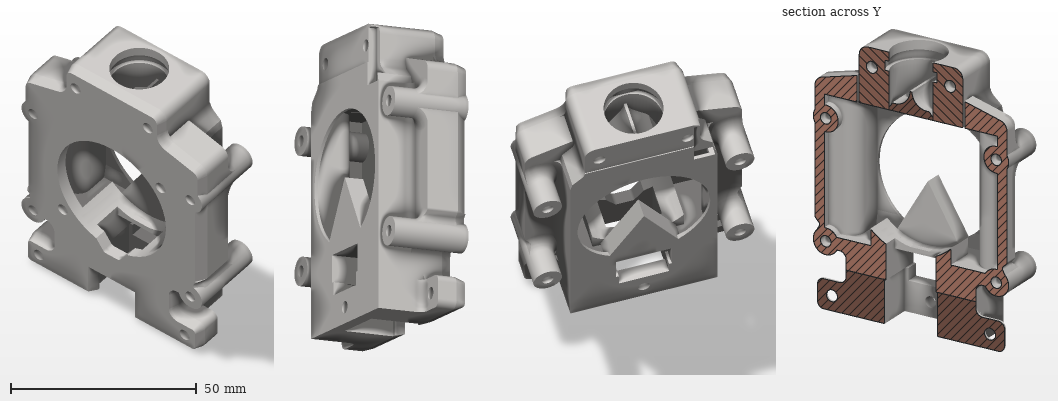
import cadquery as cq
import math

TOP_Z = 40.0
BOTTOM_Z = -40.0
BACK_Y = 22.0
PLATE_BACK_Y = 3.5
BEVEL_DEPTH = 3.0
BEVEL_INSET = 1.0
SPLIT_Y = 12.0
WALL = 2.0
FLANGE_WALL = 3.2
BACK_WALL = 1.0
COVER_BACK_Y = 14.2

NECK_HALF = 16.5
NECK_RADIUS = 2.9
SHOULDER_Z = 31.0
SHOULDER_SLOPE = 15.0
SHOULDER_RADIUS = 3.0
FLANGE_HALF = 30.5
FLANGE_BOTTOM_Z = -13.6
FLANGE_RADIUS = 0.8
NOTCH_INNER = (28.8, -15.4)
NOTCH_END = (29.9, -17.3)
POST_INSET = (28.4, -18.4)
BODY_HALF = 20.6
WAIST_TOP_Z = -21.8
WAIST_RADIUS = 2.0
FOOT_HALF = 29.7
FOOT_TOP_Z = -31.0
FOOT_INNER_RADIUS = 2.0
FOOT_RADIUS = 2.0
FOOT_BACK_Y = 8.5

EYE_Z = 0.4
EYE_RADIUS = 18.6
EYE_NOTCH_TOP = (5.4, -17.3)
EYE_NOTCH_BOTTOM = (2.6, -21.1)
EYE_NOTCH_RADIUS = 1.2
CAVITY_TOP_Z = 23.0
CAVITY_FLOOR_Z = -18.0
PIT_HALF = 7.8
PIT_BACK_Y = 12.4
PIT_TOP_Z = -19.5
SADDLE_HALF = 12.8
COVER_BOTTOM_Z = -27.1
CAP_GAP = 0.6
FLARE_RADIUS = COVER_BACK_Y - SPLIT_Y
POST_FLARE_RADIUS = 3.0

POST_RADIUS = 4.0
POST_X = 27.0
POST_ZS = (16.0, -20.0)
SCREW_DIAMETER = 3.4
POST_HOLE_DIAMETER = 3.2
NECK_HOLE = (12.4, 34.2)
FOOT_HOLE = (25.0, -35.5)
DOWEL = (16.8, 14.1)
BORE_RADIUS = 8.1
GROOVE_RADIUS = 9.2
GROOVE_TOP_Z = 37.2
GROOVE_BOTTOM_Z = 34.4
DEFLECTOR_HALF = 7.7
DEFLECTOR_LEDGE_OUTER = 5.8
DEFLECTOR_LEDGE_INNER = 5.0
DEFLECTOR_LEDGE_HEIGHT = 2.4
DEFLECTOR_RIDGE_HALF = 0.4

SLOT_HALF = 7.0
SLOT_BEVEL = 1.0
SLOT_TOP_Z = -29.8
BASE_SLOT_HALF = 8.2
TAB_TOP_Z = -30.8
TAB_FRONT_Y = 18.0
WEB_FRONT_Y = 16.5
WEB_SLOPE = 0.6
RAMP_HEIGHT = 4.2
RAMP_DEPTH = 0.8
REAR_SHOULDER_Z = 28.5
REAR_SHOULDER_RADIUS = 3.2
REAR_SHOULDER_END = (20.1, 25.2)
NECK_BACK_Y = 21.8
NECK_STEP_Z = 29.4
LATCH_INNER_X = -14.1
LATCH_OUTER_X = -20.0
LATCH_FRONT_Y = 19.5
LATCH_TOP_Z = 38.9
SIDE_BEVEL_INSET = 1.9

SLOPE_TAN = math.tan(math.radians(SHOULDER_SLOPE))


def shoulder_z(x):
    """Height of the front shoulder's sloped line at distance x from the centre."""
    return SHOULDER_Z - (x - NECK_HALF) * SLOPE_TAN


def arc_bulge(radius):
    """Offset of a concave quarter arc's midpoint from each of the two faces it joins."""
    return radius * (1 - math.sqrt(0.5))


def corner_arc(before, corner, after):
    """Start, middle and end of the arc that rounds a corner (x, z, radius)."""
    x, z, radius = corner
    start_dir = cq.Vector(before[0] - x, before[1] - z).normalized()
    end_dir = cq.Vector(after[0] - x, after[1] - z).normalized()
    half_angle = start_dir.getAngle(end_dir) / 2
    tangent = radius / math.tan(half_angle)
    bisector = (start_dir + end_dir).normalized()
    apex = cq.Vector(x, z)
    return (
        apex + start_dir * tangent,
        apex + bisector * (radius / math.sin(half_angle) - radius),
        apex + end_dir * tangent,
    )


def mirrored_prism(half_outline, y_front, y_back, taper=None):
    """Prism along Y from the right half of a symmetric outline of (x, z, radius) corners.

    A tapered prism has its full outline at the back and shrinks towards the front.
    """
    corners = half_outline + [(-x, z, r) for x, z, r in reversed(half_outline)]
    plane_y = y_front if taper is None else y_back
    outline = cq.Workplane("XZ", origin=(0, plane_y, 0))
    started = False
    for i, corner in enumerate(corners):
        before = corners[i - 1]
        after = corners[(i + 1) % len(corners)]
        if corner[2] > 0:
            start, middle, end = corner_arc(before, corner, after)
        else:
            start = cq.Vector(corner[0], corner[1])
        outline = outline.lineTo(start.x, start.y) if started else outline.moveTo(start.x, start.y)
        started = True
        if corner[2] > 0:
            outline = outline.threePointArc((middle.x, middle.y), (end.x, end.y))
    outline = outline.close()
    if taper is None:
        return outline.extrude(y_front - y_back)
    return outline.extrude(y_back - y_front, taper=taper)


def block(half_width, y_front, y_back, z_low, z_high):
    """Box centred on X = 0."""
    size = (2 * half_width, y_back - y_front, z_high - z_low)
    return cq.Workplane("XY").box(*size, centered=(True, False, False)).translate((0, y_front, z_low))


def y_cylinder(x, z, radius, y_front=0.0, y_back=BACK_Y):
    return cq.Workplane("XZ", origin=(0, y_front, 0)).center(x, z).circle(radius).extrude(y_front - y_back)


def both_sides(shape):
    return shape.union(shape.mirror("YZ"))


def wall_flare(y_face, radius, z_low, z_high):
    """Concave fillet between the outer side walls and a ledge that faces +Y."""
    bulge = arc_bulge(radius)
    section = (
        cq.Workplane("XY", origin=(0, 0, z_low))
        .moveTo(BODY_HALF - WALL, y_face)
        .lineTo(BODY_HALF + radius, y_face)
        .threePointArc((BODY_HALF + bulge, y_face + bulge), (BODY_HALF, y_face + radius))
        .lineTo(BODY_HALF - WALL, y_face + radius)
        .close()
    )
    return both_sides(section.extrude(z_high - z_low))


def screw_holes(points, diameter):
    holes = cq.Workplane("XZ").pushPoints(points).circle(diameter / 2)
    return holes.extrude(-BACK_Y)


def side_pair(point):
    x, z = point
    return [(x, z), (-x, z)]


def shaft_bore():
    """Vertical bore with a retaining groove, centred on the split plane."""
    bore = (
        cq.Workplane("XY", origin=(0, SPLIT_Y, CAVITY_TOP_Z))
        .circle(BORE_RADIUS)
        .extrude(TOP_Z - CAVITY_TOP_Z)
    )
    groove = (
        cq.Workplane("XY", origin=(0, SPLIT_Y, GROOVE_BOTTOM_Z))
        .circle(GROOVE_RADIUS)
        .extrude(GROOVE_TOP_Z - GROOVE_BOTTOM_Z)
    )
    return bore.union(groove)


FLANGE_EDGE = [
    (FLANGE_HALF, shoulder_z(FLANGE_HALF), SHOULDER_RADIUS),
    (FLANGE_HALF, FLANGE_BOTTOM_Z, FLANGE_RADIUS),
    NOTCH_INNER + (FLANGE_RADIUS,),
    NOTCH_END + (0,),
    POST_INSET + (0,),
    (POST_INSET[0], WAIST_TOP_Z, 0),
]
FOOT_EDGE = [
    (BODY_HALF, FOOT_TOP_Z, FOOT_INNER_RADIUS),
    (FOOT_HALF, FOOT_TOP_Z, FOOT_RADIUS),
    (FOOT_HALF, BOTTOM_Z, FOOT_RADIUS),
]
PLATE_EDGE = (
    [(NECK_HALF, TOP_Z, NECK_RADIUS), (NECK_HALF, SHOULDER_Z, SHOULDER_RADIUS)]
    + FLANGE_EDGE
    + [(BODY_HALF, WAIST_TOP_Z, WAIST_RADIUS)]
    + FOOT_EDGE
)


def cover_plate():
    lean = math.degrees(math.atan(BEVEL_INSET / BEVEL_DEPTH))
    rim = mirrored_prism(PLATE_EDGE, 0, BEVEL_DEPTH, taper=lean)
    plate = rim.union(mirrored_prism(PLATE_EDGE, BEVEL_DEPTH, PLATE_BACK_Y))
    side_bevel = (
        cq.Workplane("XY", origin=(0, 0, FLANGE_BOTTOM_Z))
        .polyline([
            (FLANGE_HALF - SIDE_BEVEL_INSET, 0),
            (FLANGE_HALF, 0),
            (FLANGE_HALF, BEVEL_DEPTH),
        ])
        .close()
        .extrude(POST_ZS[0] - FLANGE_BOTTOM_Z)
    )
    return plate.cut(both_sides(side_bevel))


def cover_flange():
    opening_half = NECK_HALF + CAP_GAP
    edge = (
        [(opening_half, CAVITY_TOP_Z, 0), (opening_half, shoulder_z(opening_half), 0)]
        + FLANGE_EDGE
        + [(BODY_HALF, WAIST_TOP_Z, WAIST_RADIUS), (BODY_HALF, COVER_BOTTOM_Z, 0)]
    )
    flange = mirrored_prism(edge, PLATE_BACK_Y, SPLIT_Y)
    envelope = mirrored_prism(edge, SPLIT_Y, SPLIT_Y + POST_FLARE_RADIUS)
    flare = wall_flare(SPLIT_Y, FLARE_RADIUS, WAIST_TOP_Z, CAVITY_TOP_Z)
    for x in (POST_X, -POST_X):
        for z in POST_ZS:
            flare = flare.union(post_flare().translate((x, 0, z)))
    walls = block(BODY_HALF, SPLIT_Y, COVER_BACK_Y, COVER_BOTTOM_Z, CAVITY_TOP_Z)
    return flange.union(flare.intersect(envelope)).union(walls)


def post_flare():
    """Concave fillet ring at the foot of a post, about an axis along Y."""
    bulge = arc_bulge(POST_FLARE_RADIUS)
    end_y = SPLIT_Y + POST_FLARE_RADIUS
    return (
        cq.Workplane("XY")
        .moveTo(0, SPLIT_Y)
        .lineTo(POST_RADIUS + POST_FLARE_RADIUS, SPLIT_Y)
        .threePointArc((POST_RADIUS + bulge, SPLIT_Y + bulge), (POST_RADIUS, end_y))
        .lineTo(0, end_y)
        .close()
        .revolve(360, (0, 0), (0, 1))
    )


def saddle(y_front, y_back):
    """Bed on the cavity floor, hollowed to the radius of the round opening."""
    bed = block(SADDLE_HALF, y_front, y_back, CAVITY_FLOOR_Z, EYE_Z)
    return bed.cut(y_cylinder(0, EYE_Z, EYE_RADIUS, y_front, y_back))


def cover_cavity():
    """Hollow that follows the flange and side walls, with a pit below it."""
    inner_half = BODY_HALF - WALL
    flange_inner_half = FLANGE_HALF - FLANGE_WALL
    step_y = SPLIT_Y - WALL
    radius = FLARE_RADIUS + WALL
    bulge = arc_bulge(radius)
    half = (
        cq.Workplane("XY", origin=(0, 0, CAVITY_FLOOR_Z))
        .moveTo(0, PLATE_BACK_Y)
        .lineTo(flange_inner_half, PLATE_BACK_Y)
        .lineTo(flange_inner_half, step_y)
        .lineTo(inner_half + radius, step_y)
        .threePointArc((inner_half + bulge, step_y + bulge), (inner_half, step_y + radius))
        .lineTo(0, step_y + radius)
        .close()
        .extrude(CAVITY_TOP_Z - CAVITY_FLOOR_Z)
    )
    lower = block(inner_half, PLATE_BACK_Y, COVER_BACK_Y, CAVITY_FLOOR_Z, CAVITY_TOP_Z)
    cavity = both_sides(half).union(lower).cut(saddle(PLATE_BACK_Y, COVER_BACK_Y))
    pit = block(PIT_HALF, PLATE_BACK_Y, PIT_BACK_Y, COVER_BOTTOM_Z, EYE_Z)
    passage = block(PIT_HALF, PLATE_BACK_Y, COVER_BACK_Y, COVER_BOTTOM_Z, PIT_TOP_Z)
    return cavity.union(pit).union(passage)


def eye_notch():
    """Rounded notch at the bottom of the cover's round opening."""
    edge = [EYE_NOTCH_TOP + (0,), EYE_NOTCH_BOTTOM + (EYE_NOTCH_RADIUS,)]
    return mirrored_prism(edge, 0, PLATE_BACK_Y)


def bottom_slot():
    section = [
        (SLOT_HALF + SLOT_BEVEL, 0),
        (SLOT_HALF, BEVEL_DEPTH),
        (SLOT_HALF, PLATE_BACK_Y),
    ]
    outline = section + [(-x, y) for x, y in reversed(section)]
    slot = cq.Workplane("XY", origin=(0, 0, BOTTOM_Z)).polyline(outline).close()
    return slot.extrude(SLOT_TOP_Z - BOTTOM_Z)


def make_cover():
    cover = cover_plate().union(cover_flange().cut(cover_cavity()))
    for x in (POST_X, -POST_X):
        for z in POST_ZS:
            cover = cover.union(y_cylinder(x, z, POST_RADIUS))
    cover = cover.cut(y_cylinder(0, EYE_Z, EYE_RADIUS, 0, PLATE_BACK_Y))
    cover = cover.cut(eye_notch()).cut(bottom_slot())
    posts = [point for z in POST_ZS for point in side_pair((POST_X, z))]
    dowels = [(DOWEL[0], EYE_Z + DOWEL[1]), (-DOWEL[0], EYE_Z - DOWEL[1])]
    for x, z in dowels:
        cover = cover.cut(y_cylinder(x, z, SCREW_DIAMETER / 2, 0, PLATE_BACK_Y))
    cover = cover.cut(screw_holes(posts, POST_HOLE_DIAMETER))
    return cover.cut(screw_holes(side_pair(NECK_HOLE) + side_pair(FOOT_HOLE), SCREW_DIAMETER))


def make_bearing_cap():
    edge = [(NECK_HALF, TOP_Z, NECK_RADIUS), (NECK_HALF, CAVITY_TOP_Z, 0)]
    cap = mirrored_prism(edge, PLATE_BACK_Y, SPLIT_Y)
    return cap.cut(shaft_bore()).cut(screw_holes(side_pair(NECK_HOLE), SCREW_DIAMETER))


def housing_neck():
    end_x, end_z = REAR_SHOULDER_END
    edge = [
        (NECK_HALF, TOP_Z, NECK_RADIUS),
        (NECK_HALF, REAR_SHOULDER_Z, REAR_SHOULDER_RADIUS),
        (end_x, end_z, 0),
        (BODY_HALF, CAVITY_TOP_Z, 0),
    ]
    neck = mirrored_prism(edge, SPLIT_Y, BACK_Y)
    neck = neck.cut(block(BODY_HALF, NECK_BACK_Y, BACK_Y, NECK_STEP_Z, TOP_Z))
    latch = block((LATCH_INNER_X - LATCH_OUTER_X) / 2, LATCH_FRONT_Y, BACK_Y, CAVITY_TOP_Z, LATCH_TOP_Z)
    neck = neck.cut(latch.translate(((LATCH_INNER_X + LATCH_OUTER_X) / 2, 0, 0)))
    return neck.cut(shaft_bore()).union(deflector())


def deflector():
    """Cusped block across the lower end of the bore, with concave flanks rising to a narrow ridge."""
    floor_z = CAVITY_TOP_Z
    ledge_z = floor_z + DEFLECTOR_LEDGE_HEIGHT
    flank_radius = DEFLECTOR_LEDGE_INNER - DEFLECTOR_RIDGE_HALF
    bulge = arc_bulge(flank_radius)
    half = (
        cq.Workplane("XZ", origin=(0, SPLIT_Y - BORE_RADIUS, 0))
        .moveTo(0, floor_z)
        .lineTo(DEFLECTOR_HALF, floor_z)
        .lineTo(DEFLECTOR_LEDGE_OUTER, ledge_z)
        .lineTo(DEFLECTOR_LEDGE_INNER, ledge_z)
        .threePointArc(
            (DEFLECTOR_RIDGE_HALF + bulge, ledge_z + bulge),
            (DEFLECTOR_RIDGE_HALF, ledge_z + flank_radius),
        )
        .lineTo(0, ledge_z + flank_radius)
        .close()
        .extrude(-2 * BORE_RADIUS)
    )
    return both_sides(half).intersect(shaft_bore())


def housing_tub():
    """Side walls and perforated back wall, with the triangular web left in the round opening."""
    inner_half = BODY_HALF - WALL
    inner_back_y = BACK_Y - BACK_WALL
    tub = block(BODY_HALF, COVER_BACK_Y, BACK_Y, COVER_BOTTOM_Z, CAVITY_TOP_Z)
    tub = tub.cut(block(inner_half, COVER_BACK_Y, inner_back_y, CAVITY_FLOOR_Z, CAVITY_TOP_Z))
    ramp = (
        cq.Workplane("YZ", origin=(-inner_half, 0, 0))
        .polyline([
            (inner_back_y, CAVITY_FLOOR_Z),
            (inner_back_y, CAVITY_FLOOR_Z + RAMP_HEIGHT),
            (inner_back_y - RAMP_DEPTH, CAVITY_FLOOR_Z),
        ])
        .close()
        .extrude(2 * inner_half)
    )
    tub = tub.union(ramp).cut(y_cylinder(0, EYE_Z, EYE_RADIUS, COVER_BACK_Y, BACK_Y))
    web_reach = EYE_RADIUS + WALL
    web_half = WEB_SLOPE * web_reach
    web = (
        cq.Workplane("XZ", origin=(0, WEB_FRONT_Y, EYE_Z))
        .polyline([(0, 0), (web_half, -web_reach), (-web_half, -web_reach)])
        .close()
        .extrude(WEB_FRONT_Y - BACK_Y)
    )
    tub = tub.union(saddle(COVER_BACK_Y, WEB_FRONT_Y))
    tub = tub.union(web.intersect(y_cylinder(0, EYE_Z, web_reach, WEB_FRONT_Y, BACK_Y)))
    return tub.cut(block(PIT_HALF, COVER_BACK_Y, BACK_Y, COVER_BOTTOM_Z, PIT_TOP_Z))


def housing_base():
    base = block(BODY_HALF, PLATE_BACK_Y, BACK_Y, BOTTOM_Z, COVER_BOTTOM_Z)
    feet = mirrored_prism([(BODY_HALF, COVER_BOTTOM_Z, 0)] + FOOT_EDGE, PLATE_BACK_Y, FOOT_BACK_Y)
    base = base.union(feet).union(wall_flare(FOOT_BACK_Y, FLARE_RADIUS, BOTTOM_Z, FOOT_TOP_Z))
    base = base.cut(block(BASE_SLOT_HALF, PLATE_BACK_Y, TAB_FRONT_Y, BOTTOM_Z, COVER_BOTTOM_Z))
    return base.cut(block(SLOT_HALF, TAB_FRONT_Y, BACK_Y, TAB_TOP_Z, COVER_BOTTOM_Z))


def make_housing():
    housing = housing_neck().union(housing_tub()).union(housing_base())
    points = side_pair(NECK_HOLE) + side_pair(FOOT_HOLE) + [(0, FOOT_HOLE[1])]
    return housing.cut(screw_holes(points, SCREW_DIAMETER))


cover = make_cover()
bearing_cap = make_bearing_cap()
housing = make_housing()

result = cq.Compound.makeCompound([
    cover.solids().val(),
    bearing_cap.solids().val(),
    housing.solids().val(),
])